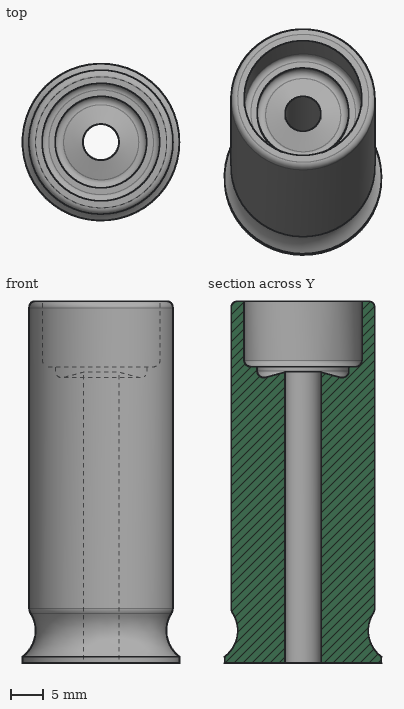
import cadquery as cq
import math

height = 55.35
edge_step = 1.0
flange_diameter = 24.0
body_diameter = 22.0
bore_diameter = 18.0
pocket_diameter = 14.0
hole_diameter = 5.5

groove_radius = 5.0
shoulder_radius = 1.5
bore_depth = 10.0
pocket_depth = 1.65
cone_angle = math.radians(15)

flange_radius = flange_diameter / 2
body_radius = body_diameter / 2
bore_radius = bore_diameter / 2
pocket_radius = pocket_diameter / 2
hole_radius = hole_diameter / 2

neck_radius = body_radius - edge_step
groove_center_r = neck_radius + groove_radius
groove_center_z = edge_step + math.sqrt(groove_radius**2 - (groove_center_r - flange_radius)**2)

shoulder_center_r = body_radius - shoulder_radius
center_distance = groove_radius + shoulder_radius
shoulder_center_z = groove_center_z + math.sqrt(
    center_distance**2 - (groove_center_r - shoulder_center_r)**2
)
tangent_share = groove_radius / center_distance
tangent_r = groove_center_r + (shoulder_center_r - groove_center_r) * tangent_share
tangent_z = groove_center_z + (shoulder_center_z - groove_center_z) * tangent_share
shoulder_angle = math.atan2(tangent_z - shoulder_center_z, tangent_r - shoulder_center_r)
shoulder_middle = (
    shoulder_center_r + shoulder_radius * math.cos(shoulder_angle / 2),
    shoulder_center_z + shoulder_radius * math.sin(shoulder_angle / 2),
)

bore_floor_z = height - bore_depth


def arc_point(center_r, center_z, radius, angle):
    """Point on an arc, with the angle measured from straight down towards the outside."""
    return center_r + radius * math.sin(angle), center_z - radius * math.cos(angle)


def outer_body():
    profile = (
        cq.Workplane("XZ")
        .lineTo(flange_radius, 0)
        .lineTo(flange_radius, edge_step)
        .threePointArc((neck_radius, groove_center_z), (tangent_r, tangent_z))
        .threePointArc(shoulder_middle, (body_radius, shoulder_center_z))
        .lineTo(body_radius, height)
        .lineTo(0, height)
        .close()
    )
    body = profile.revolve(360, (0, 0, 0), (0, 1, 0))
    return body.faces(">Z").edges().fillet(edge_step)


def stepped_bore():
    """Rounded bore, rounded pocket with a raised conical floor, and the through hole."""
    ledge_radius = bore_radius - edge_step
    bore_arc_z = bore_floor_z + edge_step
    pocket_arc_r = pocket_radius - edge_step
    pocket_arc_z = bore_floor_z - pocket_depth + edge_step
    cone_edge = arc_point(pocket_arc_r, pocket_arc_z, edge_step, -cone_angle)
    cone_top_z = cone_edge[1] + (cone_edge[0] - hole_radius) * math.tan(cone_angle)
    profile = (
        cq.Workplane("XZ")
        .lineTo(hole_radius, 0)
        .lineTo(hole_radius, cone_top_z)
        .lineTo(*cone_edge)
        .threePointArc(
            arc_point(pocket_arc_r, pocket_arc_z, edge_step, math.pi / 4),
            (pocket_radius, pocket_arc_z),
        )
        .lineTo(pocket_radius, bore_floor_z)
        .lineTo(ledge_radius, bore_floor_z)
        .threePointArc(
            arc_point(ledge_radius, bore_arc_z, edge_step, math.pi / 4),
            (bore_radius, bore_arc_z),
        )
        .lineTo(bore_radius, height)
        .lineTo(0, height)
        .close()
    )
    return profile.revolve(360, (0, 0, 0), (0, 1, 0))


result = outer_body().cut(stepped_bore())